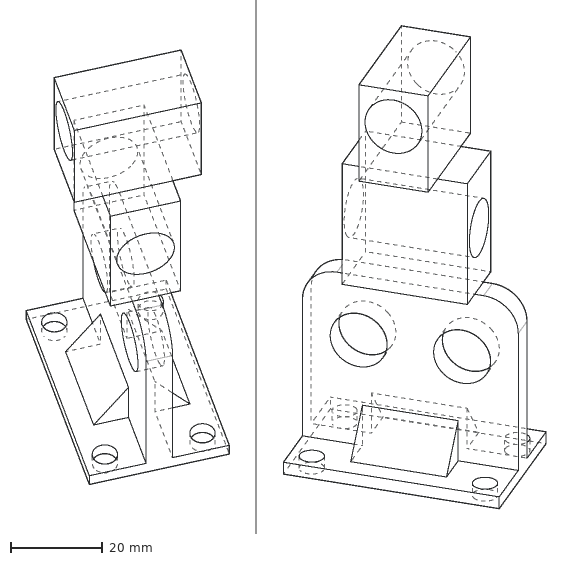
import cadquery as cq

base_length = 50.0
base_width = 32.0
base_thickness = 3.0
mount_hole_diameter = 5.5
mount_hole_x = 20.0
mount_hole_y = 11.0
outer_hole_y = 11.3

total_height = 99.0
plate_top = 45.0
plate_thickness = 6.0
plate_corner_radius = 8.0
bore_diameter = 13.2
plate_bore_x = 12.0
plate_bore_z = 29.0

rib_length = 22.2
rib_reach = 11.0
rib_top = 13.0

block_length = 29.0
block_thickness = 16.0
lower_block_top = 75.0
lower_block_shift = -0.4
lower_bore_z = 60.0
upper_bore_z = 90.0


def block(size_x, size_y, bottom, top):
    """Box centred on the Z axis between two heights."""
    return (
        cq.Workplane("XY")
        .workplane(offset=bottom)
        .rect(size_x, size_y)
        .extrude(top - bottom)
    )


def make_base():
    holes = (
        cq.Workplane("XY")
        .pushPoints([
            (-mount_hole_x, -mount_hole_y),
            (mount_hole_x, -mount_hole_y),
            (-mount_hole_x, mount_hole_y),
            (mount_hole_x, outer_hole_y),
        ])
        .circle(mount_hole_diameter / 2)
        .extrude(base_thickness)
    )
    return block(base_length, base_width, 0, base_thickness).cut(holes)


def make_upright():
    plate = block(base_length, plate_thickness, base_thickness, plate_top)
    plate = plate.edges("|Y and >Z").fillet(plate_corner_radius)
    bores = (
        cq.Workplane("XZ")
        .pushPoints([(-plate_bore_x, plate_bore_z), (plate_bore_x, plate_bore_z)])
        .circle(bore_diameter / 2)
        .extrude(plate_thickness / 2, both=True)
    )
    return plate.cut(bores)


def make_ribs():
    """Both ribs as one symmetric profile running through the plate."""
    half_thickness = plate_thickness / 2
    return (
        cq.Workplane("YZ")
        .polyline([
            (-rib_reach, base_thickness),
            (rib_reach, base_thickness),
            (half_thickness, rib_top),
            (-half_thickness, rib_top),
        ])
        .close()
        .extrude(rib_length / 2, both=True)
    )


def make_bored_block(size_x, size_y, bottom, top, bore_plane, bore_z):
    bore = (
        cq.Workplane(bore_plane)
        .center(0, bore_z)
        .circle(bore_diameter / 2)
        .extrude(block_length / 2, both=True)
    )
    return block(size_x, size_y, bottom, top).cut(bore)


lower_block = make_bored_block(
    block_length, block_thickness, plate_top, lower_block_top, "YZ", lower_bore_z
).translate((lower_block_shift, 0, 0))
upper_block = make_bored_block(
    block_thickness, block_length, lower_block_top, total_height, "XZ", upper_bore_z
)

result = (
    make_base()
    .union(make_upright())
    .union(make_ribs())
    .union(lower_block)
    .union(upper_block)
)